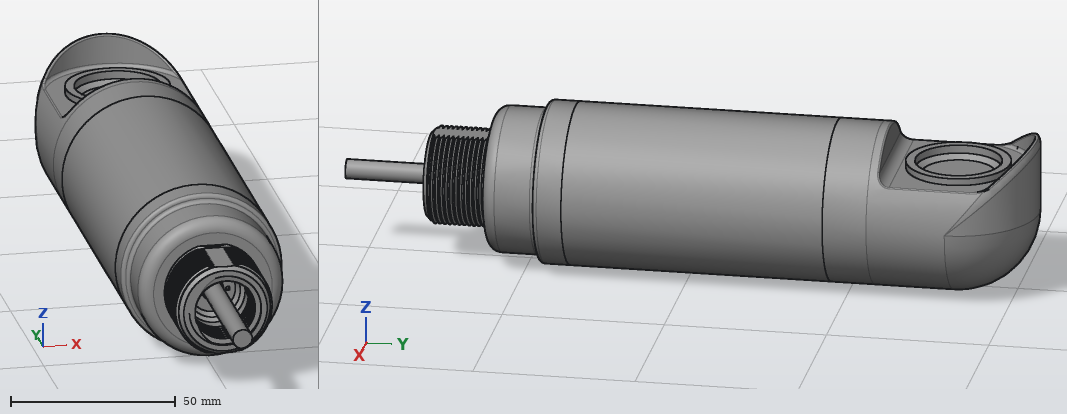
import cadquery as cq

TOTAL_LENGTH = 213.5
BODY_RADIUS = 25.0
TIP_Y = TOTAL_LENGTH / 2
CABLE_END_Y = -TOTAL_LENGTH / 2

HEAD_END_Y = 44.2
SEGMENT_END_Y = -36.3

TIP_CENTRE_Y = TIP_Y - BODY_RADIUS
TIP_EDGE_RADIUS = 4.0
COLLAR_END_Y = 57.6
POCKET_FLOOR_Z = 13.0
POCKET_TIP_RADIUS = 23.3
POCKET_WALL_Y = 60.6
POCKET_WALL_FILLET = 3.5
POCKET_TIP_FILLET = 1.0
POCKET_RIM_ROUND = 0.53
RING_RADIUS = 16.0
RING_TOP_Z = 15.2
DISH_RADIUS = 13.2
DISH_FLOOR_RADIUS = 11.3
DISH_WALL_DEPTH = 2.5
DISH_CONE_DEPTH = 1.5

SHOULDER_Y = -44.0
CAP_RADIUS = 22.5
STEP_CURVE = (BODY_RADIUS - CAP_RADIUS) / 2
CAP_END_Y = -61.5
CAP_ROUND = 4.0
STUB_END_Y = -81.0
STUB_CHAMFER = 1.3
THREAD_START_Y = -62.8
THREAD_COUNT = 11
THREAD_PITCH = 1.5
THREAD_ROOT_RADIUS = 14.2
THREAD_CREST_RADIUS = 15.0
THREAD_CREST_WIDTH = 0.2
THREAD_FLAT_Z = 13.9
NECK_FLAT_Z = 14.3

BORE_RADIUS = 9.5
BORE_THREAD_PITCH = 1.81
BORE_THREAD_ROOT_RADIUS = 11.0
BORE_THREAD_TURNS = 8
BORE_GROOVE_MOUTH = 1.6
BORE_GROOVE_ROOT = 1.0
GROOVE_OVERLAP = 0.2
BORE_CONE_RADIUS = 8.1
BORE_CONE_LENGTH = 1.0
BORE_FLOOR_RADIUS = 7.0
BORE_SEAT_LENGTH = 2.1
BORE_FLOOR_Y = CAP_END_Y
DIMPLE_COUNT = 4
DIMPLE_RADIUS = 0.6
DIMPLE_CIRCLE_RADIUS = 4.7
DIMPLE_DEPTH = 1.0

CABLE_RADIUS = 3.0
CABLE_HOLE_RADIUS = 3.5
CABLE_SEAT_DEPTH = 4.3
CABLE_SEAT_Y = BORE_FLOOR_Y + CABLE_SEAT_DEPTH


def rod(radius, start_y, end_y):
    """Cylinder on the Y axis."""
    length = end_y - start_y
    return cq.Workplane("XZ", origin=(0, start_y, 0)).circle(radius).extrude(-length)


def disc(radius, bottom_z, height):
    """Upright cylinder on the centre of the head's tip."""
    return cq.Workplane("XY", origin=(0, TIP_CENTRE_Y, bottom_z)).circle(radius).extrude(height)


def head_blank():
    """Barrel whose tip is a quarter sphere below and two crossed cylinders above."""
    barrel = rod(BODY_RADIUS, COLLAR_END_Y, TIP_CENTRE_Y)
    crossed_tip = rod(BODY_RADIUS, TIP_CENTRE_Y, TIP_Y).intersect(disc(BODY_RADIUS, 0, BODY_RADIUS))
    ball = cq.Workplane("XY", origin=(0, TIP_CENTRE_Y, 0)).sphere(BODY_RADIUS)
    lower_half = disc(2 * BODY_RADIUS, -BODY_RADIUS, BODY_RADIUS)
    ball_tip = ball.intersect(lower_half).intersect(rod(2 * BODY_RADIUS, TIP_CENTRE_Y, TIP_Y))
    blank = barrel.union(crossed_tip).union(ball_tip)
    return blank.edges("%ELLIPSE").fillet(TIP_EDGE_RADIUS)


def scoop():
    """Cutter for the open pocket: flat floor, straight rear wall, round tip."""
    height = BODY_RADIUS
    tip_space = rod(2 * BODY_RADIUS, TIP_CENTRE_Y, TIP_Y)
    rear_space = rod(2 * BODY_RADIUS, COLLAR_END_Y, TIP_CENTRE_Y)
    front = disc(POCKET_TIP_RADIUS, POCKET_FLOOR_Z, height).faces("<Z").edges().fillet(POCKET_TIP_FILLET)
    front = front.intersect(tip_space)
    rear_length = TIP_CENTRE_Y - POCKET_WALL_Y
    rear = (
        cq.Workplane("XY", origin=(0, TIP_CENTRE_Y, POCKET_FLOOR_Z))
        .rect(2 * POCKET_TIP_RADIUS, 2 * rear_length)
        .extrude(height)
        .faces("<Y").edges("<Z").fillet(POCKET_WALL_FILLET)
    )
    return front.union(rear.intersect(rear_space))


def speaker_ring():
    """Disc that rises from the head's axis plane through the pocket floor; the dish makes it a ring."""
    return disc(RING_RADIUS, 0, RING_TOP_Z)


def dish():
    """Cutter for the dish in the speaker ring: straight wall, then a cone to a flat floor."""
    cone_top_z = RING_TOP_Z - DISH_WALL_DEPTH
    cone = (
        cq.Workplane("XY", origin=(0, TIP_CENTRE_Y, cone_top_z))
        .circle(DISH_RADIUS)
        .workplane(offset=-DISH_CONE_DEPTH)
        .circle(DISH_FLOOR_RADIUS)
        .loft(ruled=True)
    )
    return disc(DISH_RADIUS, cone_top_z, DISH_WALL_DEPTH).union(cone)


def make_head():
    """Head with its joint collar."""
    collar = rod(BODY_RADIUS, HEAD_END_Y, COLLAR_END_Y)
    scooped = head_blank().cut(scoop())
    scooped = scooped.faces("+Z").edges("|Y").fillet(POCKET_RIM_ROUND)
    return scooped.union(speaker_ring()).cut(dish()).union(collar, clean=False)


def make_segment():
    """Plain light segment between the head and the base."""
    return rod(BODY_RADIUS, SEGMENT_END_Y, HEAD_END_Y)


def base_blank():
    """Solid of revolution: stepped cap and stub with thread rings."""
    crest_side = (THREAD_PITCH - THREAD_CREST_WIDTH) / 2
    profile = (
        cq.Workplane("XY")
        .moveTo(0, SEGMENT_END_Y)
        .lineTo(BODY_RADIUS, SEGMENT_END_Y)
        .lineTo(BODY_RADIUS, SHOULDER_Y)
        .radiusArc((BODY_RADIUS - STEP_CURVE, SHOULDER_Y - STEP_CURVE), STEP_CURVE)
        .radiusArc((CAP_RADIUS, SHOULDER_Y - 2 * STEP_CURVE), -STEP_CURVE)
        .lineTo(CAP_RADIUS, CAP_END_Y + CAP_ROUND)
        .radiusArc((CAP_RADIUS - CAP_ROUND, CAP_END_Y), CAP_ROUND)
        .lineTo(THREAD_CREST_RADIUS, CAP_END_Y)
        .lineTo(THREAD_ROOT_RADIUS, THREAD_START_Y)
    )
    for turn in range(THREAD_COUNT):
        ring_y = THREAD_START_Y - turn * THREAD_PITCH
        profile = (
            profile
            .lineTo(THREAD_CREST_RADIUS, ring_y - crest_side)
            .lineTo(THREAD_CREST_RADIUS, ring_y - crest_side - THREAD_CREST_WIDTH)
            .lineTo(THREAD_ROOT_RADIUS, ring_y - THREAD_PITCH)
        )
    profile = (
        profile
        .lineTo(THREAD_ROOT_RADIUS, STUB_END_Y + STUB_CHAMFER)
        .lineTo(THREAD_ROOT_RADIUS - STUB_CHAMFER, STUB_END_Y)
        .lineTo(0, STUB_END_Y)
        .close()
    )
    return profile.revolve(360, (0, 0, 0), (0, 1, 0))


def flat_cutters(flat_z, start_y, end_y):
    """Two blocks that flatten the stub above and below, from start_y to end_y."""
    return (
        cq.Workplane("XZ", origin=(0, end_y, 0))
        .pushPoints([(0, side * (flat_z + BODY_RADIUS / 2)) for side in (1, -1)])
        .rect(2 * BODY_RADIUS, BODY_RADIUS)
        .extrude(end_y - start_y)
    )


def bore():
    """Cutter for the bore without its thread."""
    cone_end_y = BORE_FLOOR_Y - BORE_SEAT_LENGTH
    return (
        cq.Workplane("XY")
        .moveTo(0, STUB_END_Y)
        .lineTo(BORE_RADIUS, STUB_END_Y)
        .lineTo(BORE_RADIUS, cone_end_y - BORE_CONE_LENGTH)
        .lineTo(BORE_CONE_RADIUS, cone_end_y)
        .lineTo(BORE_FLOOR_RADIUS, BORE_FLOOR_Y)
        .lineTo(0, BORE_FLOOR_Y)
        .close()
        .revolve(360, (0, 0, 0), (0, 1, 0))
    )


def bore_thread():
    """Helical cutter of trapezoidal section that runs out through the end of the stub."""
    inner_radius = BORE_RADIUS - GROOVE_OVERLAP
    helix = cq.Wire.makeHelix(
        BORE_THREAD_PITCH, BORE_THREAD_PITCH * BORE_THREAD_TURNS, inner_radius
    )
    groove = (
        cq.Workplane("XZ")
        .polyline([
            (inner_radius, -BORE_GROOVE_MOUTH / 2),
            (BORE_THREAD_ROOT_RADIUS, -BORE_GROOVE_ROOT / 2),
            (BORE_THREAD_ROOT_RADIUS, BORE_GROOVE_ROOT / 2),
            (inner_radius, BORE_GROOVE_MOUTH / 2),
        ])
        .close()
        .sweep(cq.Workplane(helix), isFrenet=True)
    )
    start_y = STUB_END_Y - BORE_THREAD_PITCH
    return groove.rotate((0, 0, 0), (1, 0, 0), -90).translate((0, start_y, 0))


def dimples():
    """Four small blind holes around the cable."""
    return (
        cq.Workplane("XZ", origin=(0, BORE_FLOOR_Y, 0))
        .polarArray(DIMPLE_CIRCLE_RADIUS, 0, 360, DIMPLE_COUNT)
        .circle(DIMPLE_RADIUS)
        .extrude(-DIMPLE_DEPTH)
    )


def cable_hole():
    """Blind hole around the cable; the cable stands on its floor."""
    return rod(CABLE_HOLE_RADIUS, BORE_FLOOR_Y, CABLE_SEAT_Y)


def make_cable():
    """Plain round cable."""
    return rod(CABLE_RADIUS, CABLE_END_Y, CABLE_SEAT_Y)


def make_base():
    """Base cap with its threaded stub."""
    neck_flats = flat_cutters(NECK_FLAT_Z, THREAD_START_Y, CAP_END_Y)
    thread_flats = flat_cutters(THREAD_FLAT_Z, STUB_END_Y, THREAD_START_Y)
    outside = base_blank().cut(neck_flats).cut(thread_flats)
    return outside.cut(bore()).cut(bore_thread()).cut(dimples()).cut(cable_hole())


head = make_head().solids()
segment = make_segment()
base = make_base().solids()
cable = make_cable()
result = cq.Compound.makeCompound([head.val(), segment.val(), base.val(), cable.val()])